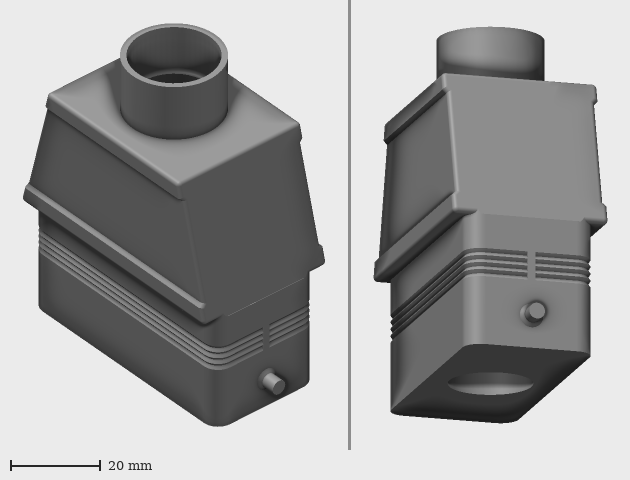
import cadquery as cq

total_height = 79.0
pin_span = 72.0

base_length = 63.35
base_width = 29.55
base_height = 30.0
base_corner_radius = 4.1

groove_count = 4
groove_band_height = 6.5
groove_pitch = groove_band_height / groove_count
groove_depth = 0.55
groove_band_bottom = 15.65
groove_end_gap = 1.8

pin_diameter = 3.6
pin_root_diameter = 5.45
pin_root_length = 0.7
pin_height = 7.4

hood_width = 36.0
hood_bottom_length = 63.2
hood_top_z = 64.55
hood_top_length = 45.0
panel_recess = 0.9
panel_bottom = 35.2
panel_top = 59.6
hood_edge_radius = 1.0

collar_diameter = 24.1
bore_diameter = 21.2
bore_depth = 12.1
bore_corner_radius = 0.95
hole_diameter = 19.1


def base_outline(inset=0.0):
    """Rounded rectangle of the base, shrunk evenly by the inset."""
    return (
        cq.Sketch()
        .rect(base_length - 2 * inset, base_width - 2 * inset)
        .vertices()
        .fillet(base_corner_radius - inset)
    )


def base_prism(bottom, top):
    """Upright prism with the base's outline."""
    return cq.Workplane("XY").workplane(offset=bottom).placeSketch(base_outline()).extrude(top - bottom)


def groove_cutter(bottom):
    """Ring of triangular section, left open at the middle of both ends."""
    outside = base_prism(bottom, bottom + groove_pitch)
    middle = bottom + groove_pitch / 2
    lower_core = (
        cq.Workplane("XY")
        .placeSketch(
            base_outline().moved(cq.Location(cq.Vector(0, 0, bottom))),
            base_outline(groove_depth).moved(cq.Location(cq.Vector(0, 0, middle))),
        )
        .loft()
    )
    upper_core = lower_core.mirror("XY", (0, 0, middle))
    end_gap = cq.Workplane("XY").box(2 * base_length, groove_end_gap, 2 * total_height)
    return outside.cut(lower_core).cut(upper_core).cut(end_gap)


def make_base():
    base = base_prism(0, base_height)
    for index in range(groove_count):
        base = base.cut(groove_cutter(groove_band_bottom + index * groove_pitch))
    return base


def make_sharp_hood():
    """Hood before rounding: tapered front outline crossed with the stepped side outline."""
    taper = (
        cq.Workplane("XZ")
        .polyline([
            (-hood_bottom_length / 2, base_height),
            (hood_bottom_length / 2, base_height),
            (hood_top_length / 2, hood_top_z),
            (-hood_top_length / 2, hood_top_z),
        ])
        .close()
        .extrude(hood_width / 2, both=True)
    )
    outer = hood_width / 2
    inner = outer - panel_recess
    half_profile = [
        (outer, base_height),
        (outer, panel_bottom - panel_recess),
        (inner, panel_bottom),
        (inner, panel_top),
        (outer, panel_top + panel_recess),
        (outer, hood_top_z),
    ]
    opposite_half = [(-y, z) for y, z in reversed(half_profile)]
    profile = (
        cq.Workplane("YZ")
        .polyline(half_profile + opposite_half)
        .close()
        .extrude(base_length / 2, both=True)
    )
    return taper.intersect(profile)


def make_hood():
    """Hood with its outer edges rounded, its ends kept sharp where they run down into the base."""
    sharp = make_sharp_hood()
    end_edges = sharp.faces("<X or >X").edges()
    rim_edges = sharp.faces("<Z or >Z").edges("|X")
    rounded = sharp.newObject(end_edges.vals() + rim_edges.vals()).fillet(hood_edge_radius)
    joint_top = base_height + 2 * hood_edge_radius
    sharp_joint = sharp.intersect(base_prism(base_height, joint_top))
    return rounded.union(sharp_joint)


def make_pins():
    """Pins sticking out of both ends, each with a conical root."""
    root_start = base_length / 2
    root_end = root_start + pin_root_length
    profile = [
        (0, 0),
        (0, pin_root_diameter / 2),
        (root_start, pin_root_diameter / 2),
        (root_end, pin_diameter / 2),
        (pin_span / 2, pin_diameter / 2),
        (pin_span / 2, 0),
    ]
    pin = cq.Workplane("XY").polyline(profile).close().revolve(360, (0, 0), (1, 0))
    pin = pin.union(pin.mirror("YZ"))
    return pin.translate((0, 0, pin_height))


def cylinder(diameter, bottom, top):
    return cq.Workplane("XY").workplane(offset=bottom).circle(diameter / 2).extrude(top - bottom)


def add_collar(body):
    """Put the collar on the hood and bore it to a rounded floor, then through the whole part."""
    collar = cylinder(collar_diameter, hood_top_z, total_height)
    bore = cylinder(bore_diameter, total_height - bore_depth, total_height)
    bore = bore.faces("<Z").edges().fillet(bore_corner_radius)
    hole = cylinder(hole_diameter, 0, total_height)
    return body.union(collar).cut(bore).cut(hole)


body = make_base().union(make_hood()).union(make_pins())
result = add_collar(body)